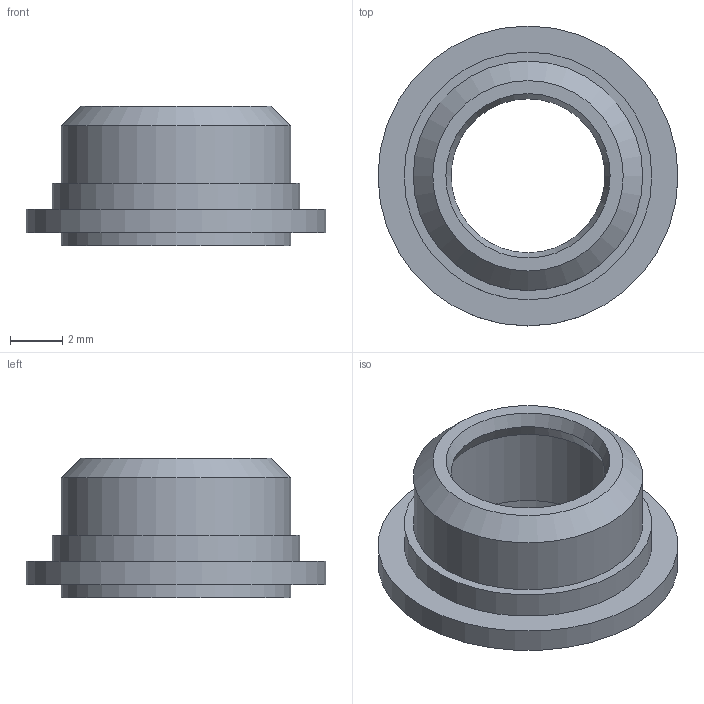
import cadquery as cq

flange_diameter = 11.5
shoulder_diameter = 9.5
body_diameter = 8.8

flange_bottom = 0.5
flange_top = 1.4
shoulder_top = 2.4
total_height = 5.35
top_chamfer = 0.75

mouth_diameter = 6.3
lip_diameter = 5.9
cavity_diameter = 7.0
cavity_exit_diameter = 6.8
mouth_depth = 0.5
exit_taper_height = 1.0

body_radius = body_diameter / 2
shoulder_radius = shoulder_diameter / 2
flange_radius = flange_diameter / 2
mouth_radius = mouth_diameter / 2
lip_radius = lip_diameter / 2
cavity_radius = cavity_diameter / 2
cavity_exit_radius = cavity_exit_diameter / 2
lip_height = total_height - mouth_depth
ledge_height = lip_height - mouth_depth


def outer_form():
    """Solid stepped bushing with a chamfered nose, without its bore."""
    profile = (
        cq.Workplane("XZ")
        .lineTo(body_radius, 0)
        .lineTo(body_radius, flange_bottom)
        .lineTo(flange_radius, flange_bottom)
        .lineTo(flange_radius, flange_top)
        .lineTo(shoulder_radius, flange_top)
        .lineTo(shoulder_radius, shoulder_top)
        .lineTo(body_radius, shoulder_top)
        .lineTo(body_radius, total_height - top_chamfer)
        .lineTo(body_radius - top_chamfer, total_height)
        .lineTo(0, total_height)
        .close()
    )
    return profile.revolve(360, (0, 0, 0), (0, 1, 0))


def bore():
    """Through bore with a retaining lip below the mouth and a tapered lower exit."""
    profile = (
        cq.Workplane("XZ")
        .lineTo(cavity_exit_radius, 0)
        .lineTo(cavity_radius, exit_taper_height)
        .lineTo(cavity_radius, ledge_height)
        .lineTo(mouth_radius, ledge_height)
        .lineTo(lip_radius, lip_height)
        .lineTo(mouth_radius, total_height)
        .lineTo(0, total_height)
        .close()
    )
    return profile.revolve(360, (0, 0, 0), (0, 1, 0))


result = outer_form().cut(bore())